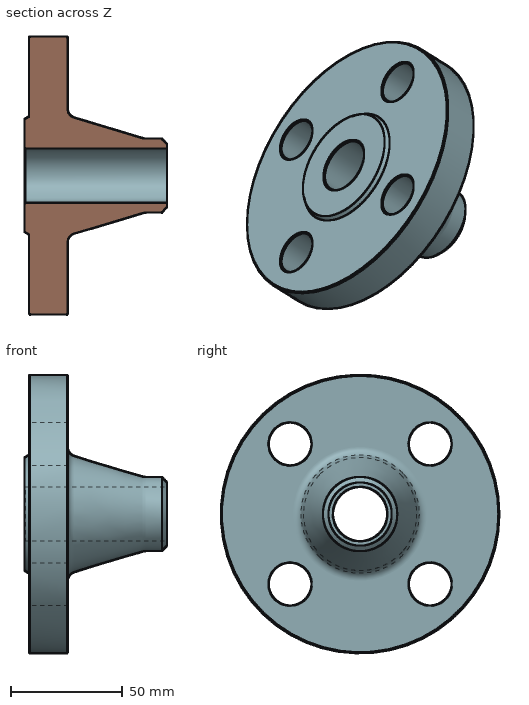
import cadquery as cq

total_length = 64.0
flange_diameter = 125.0
flange_thickness = 17.5
rim_chamfer = 0.5

face_height = 2.0
face_diameter = 50.8
face_base_diameter = 53.1

hub_diameter = 54.0
blend_radius = 4.0
neck_diameter = 33.4
neck_start = 53.8
weld_bevel_length = 2.4
weld_bevel_depth = 2.5

bore_diameter = 24.2
bolt_hole_diameter = 19.1
bolt_circle_diameter = 88.9
bolt_count = 4
hole_chamfer = 0.5

flange_back = face_height + flange_thickness
flange_radius = flange_diameter / 2
hub_radius = hub_diameter / 2
neck_radius = neck_diameter / 2
select_margin = 0.1


def fillet_circle(body, x, radius):
    """Blend the circular edge of the given radius lying at the given x."""
    low_corner = (x - select_margin, -radius - select_margin, -radius - select_margin)
    high_corner = (x + select_margin, radius + select_margin, radius + select_margin)
    edge_box = cq.selectors.BoxSelector(low_corner, high_corner, boundingbox=True)
    return body.edges(edge_box).fillet(blend_radius)


def make_body():
    """Revolve the outer profile (x along the axis, y as radius) about X."""
    profile = (
        cq.Workplane("XY")
        .lineTo(0, face_diameter / 2)
        .lineTo(face_height, face_base_diameter / 2)
        .lineTo(face_height, flange_radius - rim_chamfer)
        .lineTo(face_height + rim_chamfer, flange_radius)
        .lineTo(flange_back - rim_chamfer, flange_radius)
        .lineTo(flange_back, flange_radius - rim_chamfer)
        .lineTo(flange_back, hub_radius)
        .lineTo(neck_start, neck_radius)
        .lineTo(total_length - weld_bevel_length, neck_radius)
        .lineTo(total_length, neck_radius - weld_bevel_depth)
        .lineTo(total_length, 0)
        .close()
    )
    body = profile.revolve(360, (0, 0), (1, 0))
    body = fillet_circle(body, flange_back, hub_radius)
    return fillet_circle(body, neck_start, neck_radius)


def make_hole(diameter, start, end):
    """Cutter along X from start to end, widened by a chamfer at its start."""
    radius = diameter / 2
    return (
        cq.Workplane("XY")
        .moveTo(start, 0)
        .lineTo(start, radius + hole_chamfer)
        .lineTo(start + hole_chamfer, radius)
        .lineTo(end, radius)
        .lineTo(end, 0)
        .close()
        .revolve(360, (0, 0), (1, 0))
    )


result = make_body().cut(make_hole(bore_diameter, 0, total_length))

bolt_pitch = 360 / bolt_count
for index in range(bolt_count):
    bolt_hole = make_hole(bolt_hole_diameter, face_height, flange_back)
    bolt_hole = bolt_hole.translate((0, bolt_circle_diameter / 2, 0))
    result = result.cut(bolt_hole.rotate((0, 0, 0), (1, 0, 0), (index + 0.5) * bolt_pitch))